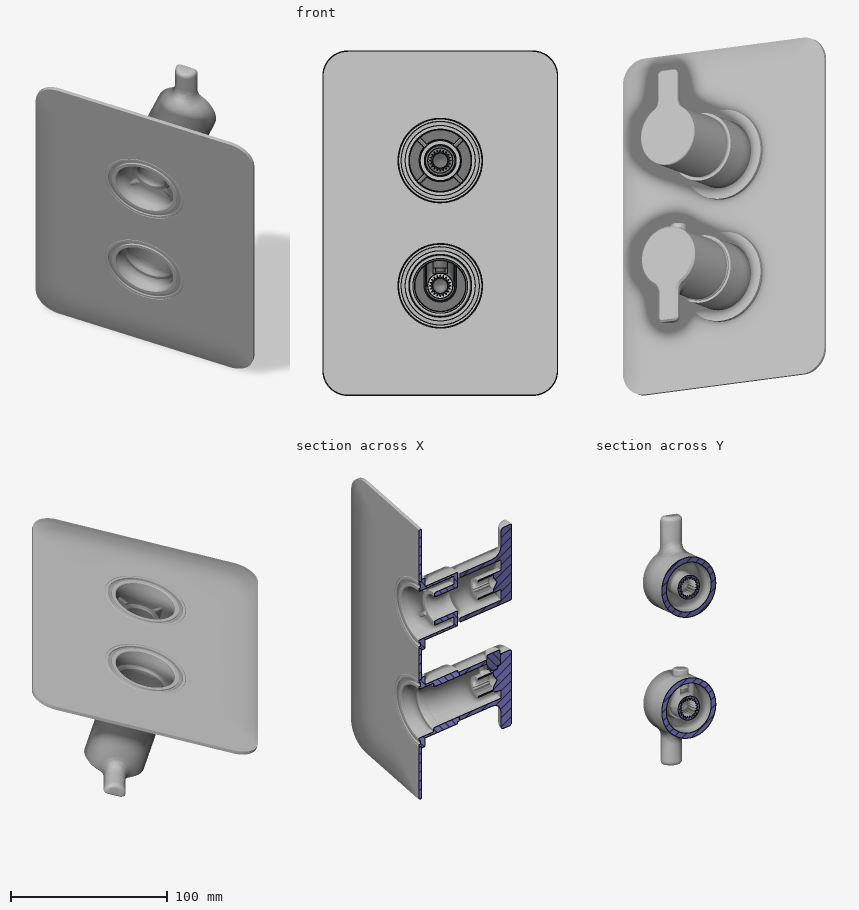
import cadquery as cq
import math

PLATE_WIDTH = 150.0
PLATE_HEIGHT = 220.0
PLATE_THICKNESS = 2.3
PLATE_CORNER_RADIUS = 16.0
PLATE_HOLE_RADIUS = 27.0
FITTING_Z = 40.0

SLEEVE_RADIUS = 22.0
SLEEVE_END = 30.3
SLEEVE_BORE_RADIUS = 19.7
FLANGE_RADIUS = 29.0
FLANGE_END = 5.0
GROOVE_INNER_RADIUS = 22.4
GROOVE_OUTER_RADIUS = 25.0
GROOVE_DEPTH = 1.0
SLEEVE_EDGE_CHAMFER = 0.4

HUB_RADIUS = 13.5
HUB_BORE_RADIUS = 9.5
HUB_START = 12.0
HUB_CHAMFER = 0.7
CAP_THICKNESS = 3.0
SPOKE_COUNT = 4
SPOKE_FIRST_ANGLE = 45.0
SPOKE_WIDTH = 2.6
SPOKE_START = 10.5
SPOKE_EDGE_FILLET = 1.0
SPOKE_ROOT_OVERLAP = 0.7

STEP_START = 11.0
STEP_RADIUS = 17.5
STEP_CHAMFER = 1.0
MIDDLE_BORE_RADIUS = 16.5
INNER_BORE_START = 16.4
INNER_BORE_RADIUS = 16.3
LIP_RADIUS = 20.5
LIP_CHAMFER = 0.7

HANDLE_START = 31.7
HANDLE_FACE = 72.3
HANDLE_RADIUS = 20.0
UPPER_RIM_CHAMFER = 0.5
LOWER_RIM_CHAMFER = 1.2
LEVER_RADIUS = 7.25
LEVER_DEPTH = 8.6
LEVER_REACH = 42.2
LEVER_TIP_FILLET = 2.8
LEVER_ROOT_FILLET = 7.0
TRIM_LENGTH = 20.0
TRIM_WIDTH = 3 * LEVER_REACH

CAVITY_RADIUS = INNER_BORE_RADIUS
CAVITY_FLOOR = 64.0
STEM_RADIUS = 8.0
STEM_START = 46.0
SOCKET_TEETH = 20
SOCKET_TIP_RADIUS = 4.8
SOCKET_ROOT_RADIUS = 6.8
SOCKET_DEPTH = 12.0
DRILL_RADIUS = SOCKET_TIP_RADIUS
DRILL_ANGLE = 118.0

BUTTON_RADIUS = 5.1
BUTTON_Y = 58.2
BUTTON_TOP = 23.8
BUTTON_CHAMFER = 0.5
BUTTON_SHOULDER = 11.5
BUTTON_TIP_RADIUS = 3.0
BUTTON_TIP_START = 9.0

PAD_BASE_RADIUS = 10.3
PAD_TOP_RADIUS = 9.3
PAD_TOP = BUTTON_Y
HOUSING_RADIUS = 8.7
WINDOW_WIDTH = 9.0


def disc(radius, start, end):
    """Cylinder along the fitting axis between two Y positions."""
    return cq.Workplane("XZ", origin=(0, start, 0)).circle(radius).extrude(start - end)


def turned(profile):
    """Solid of revolution about the fitting axis from (radius, Y) points."""
    return cq.Workplane("XY").polyline(profile).close().revolve(360, (0, 0), (0, 1))


def upright(radius, bottom, top):
    """Cylinder along Z at the depth of the stop button."""
    return cq.Workplane("XY", origin=(0, BUTTON_Y, bottom)).circle(radius).extrude(top - bottom)


def make_plate():
    plate = cq.Workplane("XZ").rect(PLATE_WIDTH, PLATE_HEIGHT).extrude(-PLATE_THICKNESS)
    plate = plate.edges("|Y").fillet(PLATE_CORNER_RADIUS)
    for z in (FITTING_Z, -FITTING_Z):
        plate = plate.cut(disc(PLATE_HOLE_RADIUS, 0, PLATE_THICKNESS).translate((0, 0, z)))
    return plate




def make_sleeve_blank(bore_end):
    """Tube with a flange on the plate, a spigot in the plate hole and a bore open at the back."""
    spigot = disc(PLATE_HOLE_RADIUS, 0, FLANGE_END)
    groove = disc(GROOVE_OUTER_RADIUS, 0, GROOVE_DEPTH).cut(disc(GROOVE_INNER_RADIUS, 0, GROOVE_DEPTH))
    spigot = spigot.cut(disc(SLEEVE_BORE_RADIUS, 0, FLANGE_END))
    spigot = spigot.faces("<Y").edges().chamfer(SLEEVE_EDGE_CHAMFER)
    flange = disc(FLANGE_RADIUS, PLATE_THICKNESS, FLANGE_END)
    tube = disc(SLEEVE_RADIUS, PLATE_THICKNESS, SLEEVE_END)
    bore = disc(SLEEVE_BORE_RADIUS, 0, bore_end)
    return spigot.cut(groove).union(flange).union(tube).cut(bore)


def make_spoke(end):
    """Spoke along +X with a rounded outer edge, from the hub to the sleeve wall."""
    inner = HUB_RADIUS - SPOKE_ROOT_OVERLAP
    outer = SLEEVE_BORE_RADIUS + SPOKE_ROOT_OVERLAP
    spoke = cq.Workplane("XY").box(outer - inner, end - SPOKE_START, SPOKE_WIDTH)
    spoke = spoke.faces("<Y").edges("|X").fillet(SPOKE_EDGE_FILLET)
    return spoke.translate(((inner + outer) / 2, (SPOKE_START + end) / 2, 0))


def make_upper_sleeve():
    cap_start = SLEEVE_END - CAP_THICKNESS
    sleeve = make_sleeve_blank(cap_start)
    hub = disc(HUB_RADIUS, HUB_START, SLEEVE_END).cut(disc(HUB_BORE_RADIUS, HUB_START, SLEEVE_END))
    hub = hub.faces("<Y").edges().chamfer(HUB_CHAMFER)
    sleeve = sleeve.cut(disc(HUB_BORE_RADIUS, cap_start, SLEEVE_END)).union(hub)
    for i in range(SPOKE_COUNT):
        angle = SPOKE_FIRST_ANGLE + i * 360 / SPOKE_COUNT
        sleeve = sleeve.union(make_spoke(cap_start).rotate((0, 0, 0), (0, 1, 0), angle))
    return sleeve


def make_lower_sleeve():
    sleeve = make_sleeve_blank(STEP_START)
    lip = disc(LIP_RADIUS, SLEEVE_END, HANDLE_START).faces(">Y").edges().chamfer(LIP_CHAMFER)
    step_bore = turned(
        [
            (0, STEP_START),
            (STEP_RADIUS, STEP_START),
            (MIDDLE_BORE_RADIUS, STEP_START + STEP_CHAMFER),
            (MIDDLE_BORE_RADIUS, INNER_BORE_START),
            (INNER_BORE_RADIUS, INNER_BORE_START),
            (INNER_BORE_RADIUS, HANDLE_START),
            (0, HANDLE_START),
        ]
    )
    return sleeve.union(lip).cut(step_bore)




def make_handle_blank(rim_chamfer):
    """Barrel with a round-backed lever pointing up, both ending flush on the front face."""
    lever_y = HANDLE_FACE - LEVER_DEPTH + LEVER_RADIUS
    barrel = disc(HANDLE_RADIUS, HANDLE_START, HANDLE_FACE + TRIM_LENGTH)
    lever = cq.Workplane("XY", origin=(0, lever_y, 0)).circle(LEVER_RADIUS).extrude(LEVER_REACH)
    lever = lever.faces(">Z").edges().fillet(LEVER_TIP_FILLET)
    lever_root = cq.selectors.BoxSelector(
        (-HANDLE_RADIUS / 2, lever_y - HANDLE_RADIUS / 2, HANDLE_RADIUS / 2),
        (HANDLE_RADIUS / 2, lever_y + HANDLE_RADIUS / 2, HANDLE_RADIUS + 1),
        boundingbox=True,
    )
    handle = barrel.union(lever).edges(lever_root).fillet(LEVER_ROOT_FILLET)
    trim = cq.Workplane("XZ", origin=(0, HANDLE_FACE, 0)).rect(TRIM_WIDTH, TRIM_WIDTH)
    handle = handle.cut(trim.extrude(-TRIM_LENGTH))
    return handle.faces(">Y").edges().chamfer(rim_chamfer)


def make_cavity():
    return disc(CAVITY_RADIUS, HANDLE_START, CAVITY_FLOOR)


def make_stem():
    return disc(STEM_RADIUS, STEM_START, CAVITY_FLOOR)


def make_socket():
    """Toothed hole in the stem, with the conical end of its drilled core."""
    end = STEM_START + SOCKET_DEPTH
    points = []
    for i in range(2 * SOCKET_TEETH):
        radius = SOCKET_ROOT_RADIUS if i % 2 == 0 else SOCKET_TIP_RADIUS
        angle = math.pi * i / SOCKET_TEETH
        points.append((radius * math.cos(angle), radius * math.sin(angle)))
    teeth = cq.Workplane("XZ", origin=(0, STEM_START, 0)).polyline(points).close().extrude(-SOCKET_DEPTH)
    cone_length = DRILL_RADIUS / math.tan(math.radians(DRILL_ANGLE / 2))
    core = turned(
        [(0, STEM_START), (DRILL_RADIUS, STEM_START), (DRILL_RADIUS, end), (0, end + cone_length)]
    )
    return teeth.union(core)


def make_upper_handle():
    handle = make_handle_blank(UPPER_RIM_CHAMFER).cut(make_cavity())
    return handle.union(make_stem()).cut(make_socket())


def make_button_pad():
    """Tapered U-shaped pad on the cavity floor, round below and running up to the wall."""
    round_end = turned(
        [(0, PAD_TOP), (PAD_TOP_RADIUS, PAD_TOP), (PAD_BASE_RADIUS, CAVITY_FLOOR), (0, CAVITY_FLOOR)]
    )
    section = [
        (-PAD_TOP_RADIUS, PAD_TOP),
        (PAD_TOP_RADIUS, PAD_TOP),
        (PAD_BASE_RADIUS, CAVITY_FLOOR),
        (-PAD_BASE_RADIUS, CAVITY_FLOOR),
    ]
    return round_end.union(cq.Workplane("XY").polyline(section).close().extrude(CAVITY_RADIUS))


def make_lower_handle():
    handle = make_handle_blank(LOWER_RIM_CHAMFER).rotate((0, 0, 0), (0, 1, 0), 180)
    cavity = make_cavity()
    housing = upright(HOUSING_RADIUS, 0, CAVITY_RADIUS)
    inside = make_button_pad().union(housing).union(make_stem()).intersect(cavity)
    window_height = CAVITY_RADIUS - STEM_RADIUS
    window_depth = BUTTON_Y - STEM_START
    window = cq.Workplane("XY").box(WINDOW_WIDTH, window_depth, window_height)
    window = window.translate((0, BUTTON_Y - window_depth / 2, STEM_RADIUS + window_height / 2))
    inside = inside.cut(window.intersect(cavity))
    handle = handle.cut(cavity).union(inside)
    return handle.cut(make_button_bore()).cut(make_socket())


def make_button_bore():
    """Hole through the barrel wall, narrowing below the button's shoulder."""
    bore = upright(BUTTON_RADIUS, BUTTON_SHOULDER, HANDLE_RADIUS + 1)
    return bore.union(upright(BUTTON_TIP_RADIUS, BUTTON_TIP_START, BUTTON_SHOULDER))


def make_button():
    head = upright(BUTTON_RADIUS, BUTTON_SHOULDER, BUTTON_TOP).faces(">Z").edges().chamfer(BUTTON_CHAMFER)
    return head.union(upright(BUTTON_TIP_RADIUS, BUTTON_TIP_START, BUTTON_SHOULDER))



plate = make_plate()
upper_sleeve = make_upper_sleeve().translate((0, 0, FITTING_Z))
upper_handle = make_upper_handle().translate((0, 0, FITTING_Z))
lower_sleeve = make_lower_sleeve().translate((0, 0, -FITTING_Z))
lower_handle = make_lower_handle().translate((0, 0, -FITTING_Z))
button = make_button().translate((0, 0, -FITTING_Z))

bodies = [plate, upper_sleeve, upper_handle, lower_sleeve, lower_handle, button]
result = cq.Compound.makeCompound([body.solids().val() for body in bodies])